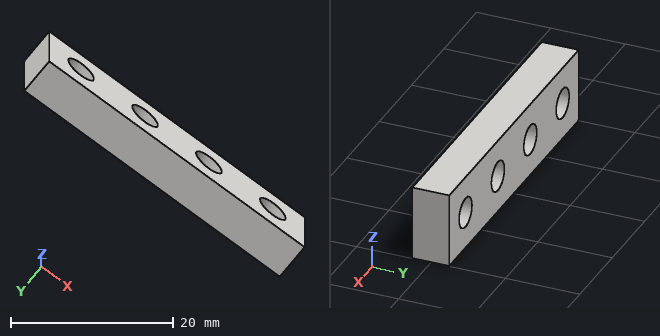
import cadquery as cq

hole_count = 4
hole_pitch = 10.0
hole_diameter = 4.0
bar_height = 10.0
bar_thickness = 5.0
bar_length = hole_count * hole_pitch


def make_bar():
    """Plain rectangular bar centred on the origin, long side along X."""
    return cq.Workplane("XY").box(bar_length, bar_thickness, bar_height)


def drill_holes(bar):
    """Row of evenly spaced through holes along Y, at mid height."""
    return (
        bar.faces("<Y")
        .workplane(centerOption="CenterOfBoundBox")
        .rarray(hole_pitch, bar_height, hole_count, 1)
        .hole(hole_diameter)
    )


result = drill_holes(make_bar())